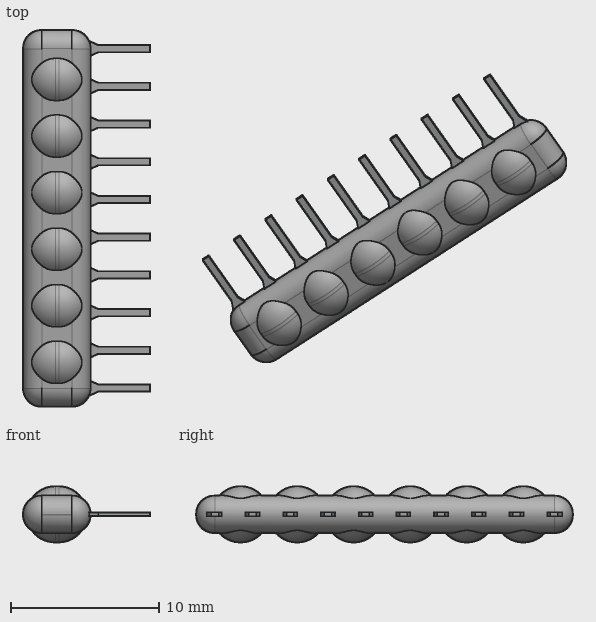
import cadquery as cq

BODY_WIDTH = 4.58
BODY_LENGTH = 25.4
BODY_HEIGHT = 2.54
ROD_RADIUS = BODY_HEIGHT / 2
END_FLAT = 0.04
END_RADIUS = (BODY_HEIGHT - END_FLAT) / 2

BULGE_COUNT = 6
BULGE_PITCH = 3.81
BULGE_ROW_Y = -0.17
BULGE_RADIUS = 1.905
BULGE_STRETCH = 0.24

LEAD_COUNT = 10
LEAD_PITCH = 2.54
LEAD_LENGTH = 4.0
LEAD_WIDTH = 0.5
LEAD_THICKNESS = 0.25
FLARE_LENGTH = 0.5
FLARE_WIDTH = 0.95
LEAD_EMBED = 0.5


def row_positions(count, pitch):
    """Y positions of a row of evenly spaced features centred on Y = 0."""
    first = -pitch * (count - 1) / 2
    return [first + pitch * i for i in range(count)]


def make_body():
    """Flat bar between two round-ended side rods; the bar's ends keep a narrow flat."""
    rod_x = (BODY_WIDTH - BODY_HEIGHT) / 2
    half_straight = BODY_LENGTH / 2 - ROD_RADIUS
    rod_profile = (
        cq.Workplane("XY")
        .moveTo(0, -BODY_LENGTH / 2)
        .radiusArc((ROD_RADIUS, -half_straight), -ROD_RADIUS)
        .lineTo(ROD_RADIUS, half_straight)
        .radiusArc((0, BODY_LENGTH / 2), -ROD_RADIUS)
        .close()
    )
    rod = rod_profile.revolve(360, (0, 0, 0), (0, 1, 0))
    bar = cq.Workplane("XY").box(2 * rod_x, BODY_LENGTH, BODY_HEIGHT)
    body = bar.edges("|X").fillet(END_RADIUS)
    for x in (-rod_x, rod_x):
        body = body.union(rod.translate((x, 0, 0)))
    return body


def make_bulge(y):
    """Capsule lying along X: two half spheres joined by a short cylinder."""
    half_stretch = BULGE_STRETCH / 2
    half_length = half_stretch + BULGE_RADIUS
    profile = (
        cq.Workplane("XY")
        .moveTo(-half_length, 0)
        .radiusArc((-half_stretch, BULGE_RADIUS), BULGE_RADIUS)
        .lineTo(half_stretch, BULGE_RADIUS)
        .radiusArc((half_length, 0), BULGE_RADIUS)
        .close()
    )
    return profile.revolve(360, (0, 0, 0), (1, 0, 0)).translate((0, y, 0))


def make_lead(y):
    """Flat lead whose root flares out at a constant taper into the body."""
    body_side = BODY_WIDTH / 2
    root_x = body_side - LEAD_EMBED
    flare_end_x = body_side + FLARE_LENGTH
    tip_x = body_side + LEAD_LENGTH
    half_width = LEAD_WIDTH / 2
    taper = (FLARE_WIDTH / 2 - half_width) / FLARE_LENGTH
    half_root = half_width + taper * (FLARE_LENGTH + LEAD_EMBED)
    outline = [
        (root_x, -half_root),
        (flare_end_x, -half_width),
        (tip_x, -half_width),
        (tip_x, half_width),
        (flare_end_x, half_width),
        (root_x, half_root),
    ]
    lead = cq.Workplane("XY").polyline(outline).close().extrude(LEAD_THICKNESS / 2, both=True)
    return lead.translate((0, y, 0))


result = make_body()
for bulge_y in row_positions(BULGE_COUNT, BULGE_PITCH):
    result = result.union(make_bulge(bulge_y + BULGE_ROW_Y))
for lead_y in row_positions(LEAD_COUNT, LEAD_PITCH):
    result = result.union(make_lead(lead_y))